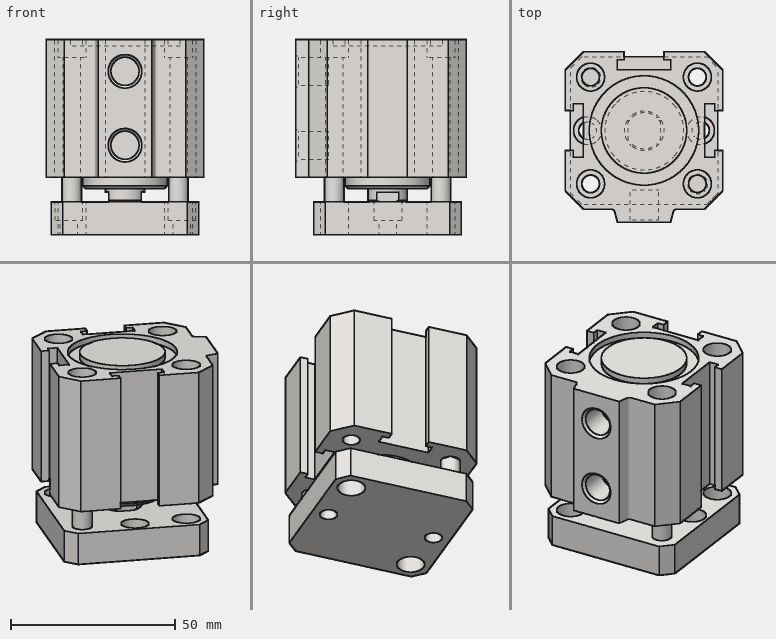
import cadquery as cq

PLATE_HEIGHT = 10.0
GAP = 7.5
TOTAL_HEIGHT = 59.5
HOUSING_BOTTOM = PLATE_HEIGHT + GAP
HOUSING_HEIGHT = TOTAL_HEIGHT - HOUSING_BOTTOM

HOUSING_WIDTH = 48.0
HOUSING_HALF = HOUSING_WIDTH / 2
HOUSING_CHAMFER = 5.6

SLOT_MOUTH = 12.15
SLOT_WIDTH = 16.25
SLOT_LIP = 2.5
SLOT_DEPTH = 5.55

RIDGE_HEIGHT = 4.0
RIDGE_TIP_WIDTH = 16.2
RIDGE_BASE_WIDTH = 18.3
RIDGE_FILLET = 0.95

PORT_DIAMETER = 8.55
PORT_DEPTH = 10.0
PORT_CHAMFER = 0.85
PORT_END_DISTANCE = 9.75

CORNER = 16.25
SCREW_HOLE = 5.3
COUNTERBORE = 8.5
COUNTERBORE_DEPTH = 5.55

COVER_DIAMETER = 26.0
COVER_RECESS_DIAMETER = 33.3
COVER_RECESS_DEPTH = 1.9
COLLAR_HEIGHT = 3.5
COLLAR_CHAMFER = 1.0

PLATE_WIDTH = 45.0
PLATE_CHAMFER = 3.5
PLATE_SCREW_OFFSET = 17.2
GUIDE_ROD_DIAMETER = 6.0
PISTON_ROD_DIAMETER = 12.0
PISTON_ROD_CHAMFER = 0.5
PISTON_ROD_LENGTH = GAP - COLLAR_HEIGHT
WRENCH_FLATS = 10.0
WRENCH_FLAT_HEIGHT = 3.0

GUIDE_CORNERS = [(-CORNER, CORNER), (CORNER, -CORNER)]
ACCESS_CORNERS = [(-CORNER, -CORNER), (CORNER, CORNER)]


def chamfered_block(width, height, chamfer, bottom):
    """Square block with chamfered upright edges."""
    block = cq.Workplane("XY").workplane(offset=bottom).rect(width, width).extrude(height)
    return block.edges("|Z").chamfer(chamfer)


def port_ridge():
    """Ridge down the whole front face, widening towards the housing."""
    face_y = -HOUSING_HALF
    tip_y = face_y - RIDGE_HEIGHT
    return (
        cq.Workplane("XY")
        .workplane(offset=HOUSING_BOTTOM)
        .moveTo(-RIDGE_BASE_WIDTH / 2, face_y)
        .lineTo(-RIDGE_TIP_WIDTH / 2, tip_y)
        .lineTo(RIDGE_TIP_WIDTH / 2, tip_y)
        .lineTo(RIDGE_BASE_WIDTH / 2, face_y)
        .close()
        .extrude(HOUSING_HEIGHT)
    )


def t_slot(angle):
    """Cutter for a T-slot in the right face, turned about Z by the given angle."""
    mouth = (
        cq.Workplane("XY")
        .workplane(offset=HOUSING_BOTTOM)
        .center(HOUSING_HALF - SLOT_DEPTH / 2, 0)
        .rect(SLOT_DEPTH, SLOT_MOUTH)
        .extrude(HOUSING_HEIGHT)
    )
    undercut_depth = SLOT_DEPTH - SLOT_LIP
    undercut = (
        cq.Workplane("XY")
        .workplane(offset=HOUSING_BOTTOM)
        .center(HOUSING_HALF - SLOT_LIP - undercut_depth / 2, 0)
        .rect(undercut_depth, SLOT_WIDTH)
        .extrude(HOUSING_HEIGHT)
    )
    return mouth.union(undercut).rotate((0, 0, 0), (0, 0, 1), angle)


def air_port(height):
    """Cutter for a blind port with a chamfered rim, opening in the ridge tip."""
    radius = PORT_DIAMETER / 2
    tip_y = -HOUSING_HALF - RIDGE_HEIGHT
    return (
        cq.Workplane("XY")
        .polyline([
            (0, tip_y),
            (radius + PORT_CHAMFER, tip_y),
            (radius, tip_y + PORT_CHAMFER),
            (radius, tip_y + PORT_DEPTH),
            (0, tip_y + PORT_DEPTH),
        ])
        .close()
        .revolve(360, (0, 0, 0), (0, 1, 0))
        .translate((0, 0, height))
    )


def make_housing():
    """Cylinder housing with its ridge, slots, ports, mounting holes and end covers."""
    body = chamfered_block(HOUSING_WIDTH, HOUSING_HEIGHT, HOUSING_CHAMFER, HOUSING_BOTTOM)

    body = body.union(port_ridge())
    for side in (-1, 1):
        root = (side * RIDGE_BASE_WIDTH / 2, -HOUSING_HALF, HOUSING_BOTTOM + HOUSING_HEIGHT / 2)
        body = body.edges(cq.NearestToPointSelector(root)).fillet(RIDGE_FILLET)

    for angle in (0, 90, 180):
        body = body.cut(t_slot(angle))

    for height in (HOUSING_BOTTOM + PORT_END_DISTANCE, TOTAL_HEIGHT - PORT_END_DISTANCE):
        body = body.cut(air_port(height))

    body = (
        body.faces(">Z")
        .workplane(origin=(0, 0, TOTAL_HEIGHT))
        .pushPoints(GUIDE_CORNERS + ACCESS_CORNERS)
        .cboreHole(SCREW_HOLE, COUNTERBORE, COUNTERBORE_DEPTH)
    )

    recess = (
        cq.Workplane("XY")
        .workplane(offset=TOTAL_HEIGHT - COVER_RECESS_DEPTH)
        .circle(COVER_RECESS_DIAMETER / 2)
        .circle(COVER_DIAMETER / 2)
        .extrude(COVER_RECESS_DEPTH)
    )
    body = body.cut(recess)

    collar = (
        cq.Workplane("XY")
        .workplane(offset=HOUSING_BOTTOM - COLLAR_HEIGHT)
        .circle(COVER_DIAMETER / 2)
        .extrude(COLLAR_HEIGHT)
        .faces("<Z")
        .chamfer(COLLAR_CHAMFER)
    )
    return body.union(collar)


def piston_rod():
    """Rod stub from the plate to the collar, with two wrench flats and a chamfered lower end."""
    rod = (
        cq.Workplane("XY")
        .workplane(offset=PLATE_HEIGHT)
        .circle(PISTON_ROD_DIAMETER / 2)
        .extrude(PISTON_ROD_LENGTH)
        .faces("<Z")
        .chamfer(PISTON_ROD_CHAMFER)
    )
    flat_cut = (PISTON_ROD_DIAMETER - WRENCH_FLATS) / 2
    flats = (
        cq.Workplane("XY")
        .workplane(offset=PLATE_HEIGHT)
        .pushPoints([(side * (WRENCH_FLATS + flat_cut) / 2, 0) for side in (-1, 1)])
        .rect(flat_cut, PISTON_ROD_DIAMETER)
        .extrude(WRENCH_FLAT_HEIGHT)
    )
    return rod.cut(flats)


def make_tool_plate():
    """Moving plate carrying the piston rod and the two guide rods."""
    plate = chamfered_block(PLATE_WIDTH, PLATE_HEIGHT, PLATE_CHAMFER, 0)

    top = plate.faces(">Z").workplane(origin=(0, 0, PLATE_HEIGHT))
    screw_places = [(-PLATE_SCREW_OFFSET, 0), (PLATE_SCREW_OFFSET, 0)]
    plate = top.pushPoints(screw_places).cboreHole(SCREW_HOLE, COUNTERBORE, COUNTERBORE_DEPTH)

    top = plate.faces(">Z").workplane(origin=(0, 0, PLATE_HEIGHT))
    plate = top.pushPoints(ACCESS_CORNERS).hole(COUNTERBORE)

    guide_rods = (
        cq.Workplane("XY")
        .workplane(offset=PLATE_HEIGHT)
        .pushPoints(GUIDE_CORNERS)
        .circle(GUIDE_ROD_DIAMETER / 2)
        .extrude(GAP)
    )
    return plate.union(guide_rods).union(piston_rod())


housing = make_housing()
tool_plate = make_tool_plate()

result = cq.Compound.makeCompound([housing.solids().val(), tool_plate.solids().val()])